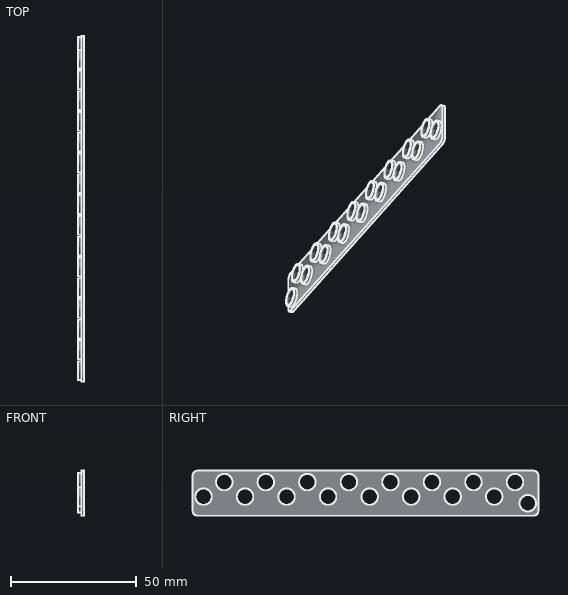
import cadquery as cq

length = 137.5
height = 18.0
plate_thickness = 1.25
boss_height = 1.25
corner_radius = 2.0

boss_diameter = 7.5
hole_diameter = 6.5

pitch = 16.5
bosses_per_row = 8
upper_row_start_y = 59.4
upper_row_z = 4.4
lower_row_start_y = upper_row_start_y - pitch / 2
lower_row_z = -1.4

corner_boss_y = 64.5
corner_boss_z = -4.0


def row_centers(start_y, z):
    """Boss centres of one row, stepping towards -Y."""
    return [(start_y - i * pitch, z) for i in range(bosses_per_row)]


def cylinders(centers, diameter, start_x, depth):
    """Round pins along +X at the given (y, z) centres."""
    plane = cq.Workplane("YZ").workplane(offset=start_x)
    return plane.pushPoints(centers).circle(diameter / 2).extrude(depth)


centers = row_centers(upper_row_start_y, upper_row_z)
centers += row_centers(lower_row_start_y, lower_row_z)
centers.append((corner_boss_y, corner_boss_z))

plate = (
    cq.Workplane("YZ")
    .rect(length, height)
    .extrude(plate_thickness)
    .edges("|X")
    .fillet(corner_radius)
)
bosses = cylinders(centers, boss_diameter, -boss_height, boss_height)
holes = cylinders(centers, hole_diameter, -boss_height, boss_height + plate_thickness)

result = plate.union(bosses).cut(holes)